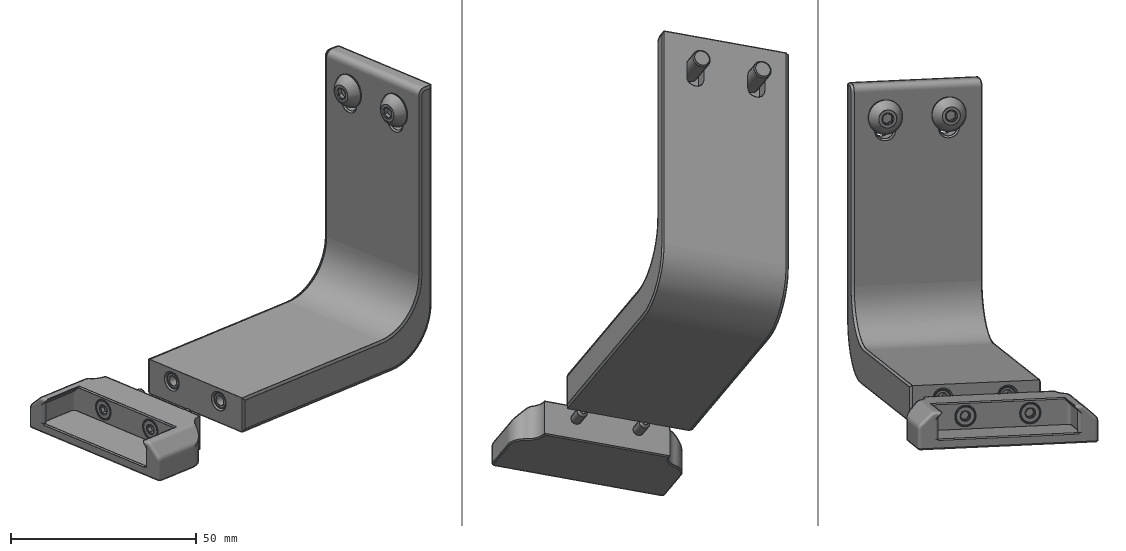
import cadquery as cq
import math

bracket_width = 36.5
bracket_height = 80.0
bracket_length = 72.0
plate_thickness = 4.6
arm_thickness = 10.2
inner_bend_radius = 14.5
outer_bend_radius = 15.0
plate_top_radius = 2.0
bracket_edge_inset = 0.3
bracket_edge_width = 0.8

plate_screw_diameter = 5.0
plate_screw_spacing = 17.7
plate_screw_height = 71.0
plate_screw_reach = 5.0
plate_screw_tip_chamfer = 0.3
button_diameter = 9.5
button_height = 3.0
button_flat_diameter = 5.0
button_bulge_height = 1.6
button_bulge_radius = 4.0
button_rim_height = 0.3
button_socket_size = 2.7
button_socket_mouth = 3.3
button_socket_depth = 1.5
slot_travel = 3.6
slot_mouth_chamfer = 0.5

overall_length = 115.4
cap_front = plate_screw_reach - overall_length
cap_length = 22.2
cap_rear = cap_front + cap_length
cap_width = 50.0
cap_rear_width = 36.2
cap_height = arm_thickness
cap_shoulder_radius = 5.0
cap_slope_width = 4.2
cap_slope_height = 3.7
cap_slope_radius = 2.0
cap_front_radius = 0.9
cap_bottom_chamfer = 0.3
pocket_width = 40.4
pocket_length = 12.3
pocket_floor = 2.8
pocket_top_width = 36.5
pocket_corner_radius = 1.0
pocket_edge_chamfer = 0.3
pocket_lip_radius = 0.8

cap_screw_diameter = 3.0
cap_screw_spacing = 18.0
cap_screw_height = 6.3
cap_screw_length = 12.1
cap_screw_tip_chamfer = 0.7
cap_head_diameter = 5.5
cap_head_height = 3.0
cap_head_chamfer = 0.2
cap_head_bore = 5.9
cap_socket_size = 2.3
cap_socket_mouth = 2.9
cap_socket_depth = 1.5
insert_diameter = 4.6
insert_bore_diameter = 2.9
insert_length = 5.8
insert_mouth_chamfer = 0.5
insert_edge_chamfer = 0.2

pocket_rear = cap_front + pocket_length


def mirrored_x(spacing):
    """X places of a pair of features on either side of the middle plane."""
    return (-spacing / 2, spacing / 2)


def rod(diameter, x, y, z, length):
    """A cylinder that starts at (x, y, z) and runs toward +Y."""
    return cq.Workplane(cq.Solid.makeCylinder(
        diameter / 2, length, cq.Vector(x, y, z), cq.Vector(0, 1, 0)))


def cone(start_diameter, end_diameter, x, y, z, length):
    """A truncated cone that starts at (x, y, z) and runs toward +Y."""
    return cq.Workplane(cq.Solid.makeCone(
        start_diameter / 2, end_diameter / 2, length, cq.Vector(x, y, z), cq.Vector(0, 1, 0)))


def hex_socket(size, mouth_diameter, x, y, z, depth, turn):
    """A hexagonal prism from (x, y, z) toward +Y, with a conical mouth; size is across flats."""
    across_corners = size / math.cos(math.pi / 6)
    prism = (
        cq.Workplane("XZ")
        .polygon(6, across_corners)
        .extrude(-depth)
        .rotate((0, 0, 0), (0, 1, 0), turn)
        .translate((x, y, z))
    )
    mouth = cone(mouth_diameter, size, x, y, z, (mouth_diameter - size) / 2)
    return prism.union(mouth)


def slot_prism(x, y, depth, width, taper=0):
    """A vertical slot whose upper end is centred on the plate screw, from y toward +Y."""
    middle_height = plate_screw_height - slot_travel / 2
    return (
        cq.Workplane("XZ", origin=(x, y, middle_height))
        .slot2D(slot_travel + width, width, 90)
        .extrude(-depth, taper=taper)
    )


def make_bracket():
    body = (
        cq.Workplane("YZ")
        .moveTo(0, bracket_height)
        .lineTo(-plate_thickness, bracket_height)
        .lineTo(-plate_thickness, arm_thickness)
        .lineTo(-bracket_length, arm_thickness)
        .lineTo(-bracket_length, 0)
        .lineTo(0, 0)
        .close()
        .extrude(bracket_width / 2, both=True)
    )
    bend = cq.selectors.NearestToPointSelector
    body = body.edges(bend((0, -plate_thickness, arm_thickness))).fillet(inner_bend_radius)
    body = body.edges(bend((0, 0, 0))).fillet(outer_bend_radius)
    body = body.edges(bend((0, -plate_thickness, bracket_height))).fillet(plate_top_radius)
    body = body.faces("<X or >X").edges().chamfer(bracket_edge_width, bracket_edge_inset)

    slot_mouth_width = plate_screw_diameter + 2 * slot_mouth_chamfer
    for x in mirrored_x(plate_screw_spacing):
        body = body.cut(slot_prism(x, -plate_thickness, plate_thickness, plate_screw_diameter))
        body = body.cut(slot_prism(x, -plate_thickness, slot_mouth_chamfer, slot_mouth_width, taper=45))

    insert_mouth_diameter = insert_diameter + 2 * insert_mouth_chamfer
    for x in mirrored_x(cap_screw_spacing):
        body = body.cut(rod(insert_diameter, x, -bracket_length, cap_screw_height, insert_length))
        body = body.cut(cone(insert_mouth_diameter, insert_diameter,
                             x, -bracket_length, cap_screw_height, insert_mouth_chamfer))
    return body


def make_insert(x):
    y = -bracket_length + insert_mouth_chamfer
    length = insert_length - insert_mouth_chamfer
    sleeve = rod(insert_diameter, x, y, cap_screw_height, length)
    sleeve = sleeve.faces("<Y").chamfer(insert_edge_chamfer)
    return sleeve.cut(rod(insert_bore_diameter, x, y, cap_screw_height, length))


def make_plate_screw(x):
    head_profile_radius = button_diameter / 2
    flat_radius = button_flat_diameter / 2
    head = (
        cq.Workplane("XY")
        .lineTo(head_profile_radius, 0)
        .lineTo(head_profile_radius, -button_rim_height)
        .threePointArc((button_bulge_radius, -button_bulge_height), (flat_radius, -button_height))
        .lineTo(0, -button_height)
        .close()
        .revolve(360, (0, 0), (0, 1))
        .translate((x, -plate_thickness, plate_screw_height))
    )
    shank_length = plate_thickness + plate_screw_reach
    shank = rod(plate_screw_diameter, x, -plate_thickness, plate_screw_height, shank_length)
    shank = shank.faces(">Y").chamfer(plate_screw_tip_chamfer)
    socket = hex_socket(button_socket_size, button_socket_mouth, x, -plate_thickness - button_height,
                        plate_screw_height, button_socket_depth, 90)
    return head.union(shank).cut(socket)


def cap_plan():
    """The cap seen along Z: a narrow rear that swells to full width through two arcs a side."""
    half_rear = cap_rear_width / 2
    half_full = cap_width / 2
    swell = half_full - half_rear
    turn = math.acos(1 - swell / (2 * cap_shoulder_radius))
    shoulder_length = 2 * cap_shoulder_radius * math.sin(turn)
    shoulder_x = (half_rear + half_full) / 2
    shoulder_y = cap_rear - shoulder_length / 2
    return (
        cq.Workplane("XY")
        .moveTo(-half_rear, cap_rear)
        .lineTo(half_rear, cap_rear)
        .radiusArc((shoulder_x, shoulder_y), -cap_shoulder_radius)
        .radiusArc((half_full, cap_rear - shoulder_length), cap_shoulder_radius)
        .lineTo(half_full, cap_front)
        .lineTo(-half_full, cap_front)
        .lineTo(-half_full, cap_rear - shoulder_length)
        .radiusArc((-shoulder_x, shoulder_y), cap_shoulder_radius)
        .radiusArc((-half_rear, cap_rear), -cap_shoulder_radius)
        .close()
        .extrude(cap_height)
    )


def cap_section():
    """The cap seen along Y: a bar whose upper outer corners slope off with rounded ends."""
    half_full = cap_width / 2
    slope_start = cap_height - cap_slope_height
    slope_end = half_full - cap_slope_width
    bar = (
        cq.Workplane("XZ", origin=(0, cap_rear, 0))
        .moveTo(-half_full, 0)
        .lineTo(half_full, 0)
        .lineTo(half_full, slope_start)
        .lineTo(slope_end, cap_height)
        .lineTo(-slope_end, cap_height)
        .lineTo(-half_full, slope_start)
        .close()
        .extrude(cap_length)
    )
    slope_ends = cq.selectors.BoxSelector(
        (-cap_width, cap_front - 1.2, slope_start / 2), (cap_width, cap_rear + 1.2, cap_height + 1.2))
    return bar.edges("|Y").edges(slope_ends).fillet(cap_slope_radius)


def pocket_plan():
    """The pocket seen along Z: round rear corners, and a rounded lip each side of the mouth."""
    half_width = pocket_width / 2
    half_lip = half_width - pocket_lip_radius
    lip_y = cap_front + pocket_lip_radius
    wall_front = lip_y + pocket_lip_radius
    wall_rear = pocket_rear - pocket_corner_radius
    half_rear = half_width - pocket_corner_radius
    return (
        cq.Workplane("XY", origin=(0, 0, pocket_floor))
        .moveTo(-half_width, cap_front)
        .radiusArc((-half_lip, lip_y), -pocket_lip_radius)
        .radiusArc((-half_width, wall_front), pocket_lip_radius)
        .lineTo(-half_width, wall_rear)
        .radiusArc((-half_rear, pocket_rear), pocket_corner_radius)
        .lineTo(half_rear, pocket_rear)
        .radiusArc((half_width, wall_rear), pocket_corner_radius)
        .lineTo(half_width, wall_front)
        .radiusArc((half_lip, lip_y), pocket_lip_radius)
        .radiusArc((half_width, cap_front), -pocket_lip_radius)
        .close()
        .extrude(cap_height - pocket_floor)
    )


def pocket_section():
    """The pocket seen along Y: upright walls that lean in at 45 degrees toward the top."""
    half_width = pocket_width / 2
    half_top = pocket_top_width / 2
    slope_start = cap_height - (half_width - half_top)
    return (
        cq.Workplane("XZ", origin=(0, pocket_rear, 0))
        .moveTo(-half_width, pocket_floor)
        .lineTo(half_width, pocket_floor)
        .lineTo(half_width, slope_start)
        .lineTo(half_top, cap_height)
        .lineTo(-half_top, cap_height)
        .lineTo(-half_width, slope_start)
        .close()
        .extrude(pocket_length)
    )


def pocket_rim_bevel():
    """A tray-shaped cutter with 45 degree sides that bevels the top rim of the pocket."""
    width = pocket_top_width + 2 * pocket_edge_chamfer
    rear = pocket_rear + pocket_edge_chamfer
    length = 2 * pocket_length
    return (
        cq.Workplane("XY", origin=(0, rear - length / 2, cap_height))
        .rect(width, length)
        .extrude(-pocket_edge_chamfer, taper=45)
    )


def pocket_floor_bevel():
    """A three-sided bar that bevels the front edge of the pocket floor between the lips."""
    bar_length = pocket_width - 2 * pocket_lip_radius
    return (
        cq.Workplane("YZ")
        .moveTo(cap_front, pocket_floor)
        .lineTo(cap_front, pocket_floor - pocket_edge_chamfer)
        .lineTo(cap_front + pocket_edge_chamfer, pocket_floor)
        .close()
        .extrude(bar_length / 2, both=True)
    )


def cut_pocket(body):
    """Cut the pocket, open at the front and top, and bevel its rim and the floor's front edge."""
    body = body.cut(pocket_plan().intersect(pocket_section()))
    return body.cut(pocket_rim_bevel()).cut(pocket_floor_bevel())


def make_cap():
    body = cap_plan().intersect(cap_section())
    body = body.faces("<Y").edges("not <Z").edges("not >Z").fillet(cap_front_radius)
    body = body.faces("<Z").edges().chamfer(cap_bottom_chamfer)
    body = cut_pocket(body)

    wall_thickness = cap_rear - pocket_rear
    for x in mirrored_x(cap_screw_spacing):
        body = body.cut(rod(cap_screw_diameter, x, pocket_rear, cap_screw_height, wall_thickness))
        body = body.cut(rod(cap_head_bore, x, pocket_rear, cap_screw_height, cap_head_height))
    return body


def make_cap_screw(x):
    shank_start = pocket_rear + cap_head_height
    head = rod(cap_head_diameter, x, pocket_rear, cap_screw_height, cap_head_height)
    head = head.faces("<Y").chamfer(cap_head_chamfer)
    shank = rod(cap_screw_diameter, x, shank_start, cap_screw_height, cap_screw_length)
    shank = shank.faces(">Y").chamfer(cap_screw_tip_chamfer)
    socket = hex_socket(cap_socket_size, cap_socket_mouth, x, pocket_rear,
                        cap_screw_height, cap_socket_depth, 0)
    return head.union(shank).cut(socket)


bracket = make_bracket()
cap = make_cap()
plate_screws = [make_plate_screw(x).val() for x in mirrored_x(plate_screw_spacing)]
cap_screws = [make_cap_screw(x).val() for x in mirrored_x(cap_screw_spacing)]
inserts = [make_insert(x).val() for x in mirrored_x(cap_screw_spacing)]

result = cq.Compound.makeCompound([bracket.val(), cap.val(), *plate_screws, *cap_screws, *inserts])